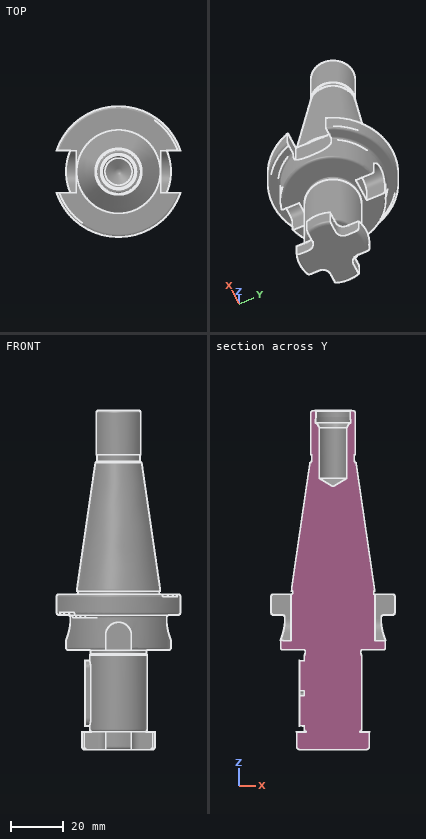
import cadquery as cq
import math


TOTAL_HEIGHT = 129.4
HEAD_TOP = 6.9
COLLAR_BOTTOM = 38.0
FLANGE_BOTTOM = 51.4
FLANGE_TOP = 59.4
TAPER_BOTTOM = 61.2
TAPER_TOP = 109.3
SPIGOT_GROOVE_BOTTOM = 110.0
SPIGOT_GROOVE_TOP = 112.5

SHAFT_RADIUS = 11.0
SHAFT_RELIEF_RADIUS = 10.7
COLLAR_RADIUS = 20.0
FLANGE_RADIUS = 25.0
TAPER_LARGE_RADIUS = 15.9
TAPER_RATE = 7 / 24
TAPER_SMALL_RADIUS = TAPER_LARGE_RADIUS - TAPER_RATE / 2 * (TAPER_TOP - TAPER_BOTTOM)
SPIGOT_RADIUS = 8.5
SPIGOT_GROOVE_RADIUS = 8.3

SHAFT_RELIEF_HEIGHT = 1.3
SHAFT_RELIEF_RUNOUT = 0.6
NECK_RADIUS = 15.5
NECK_HEIGHT = 1.2
RELIEF_FILLET = 0.4
COLLAR_FILLET = 0.9
EDGE_ROUND = 1.0

HEAD_RADIUS = 14.0
HEAD_ROUND = 1.4
LOBE_HALF_WIDTH = 4.9
LOBE_ROOT_ROUND = 3.1

SLOT_WIDTH = 16.0
SLOT_BOTTOM = 41.8
SLOT_FLOOR_DISTANCE = 16.0
NOTCH_WIDTH = 9.8
NOTCH_TOP = 48.7
NOTCH_FLOOR_DISTANCE = 11.9

KEY_WIDTH = 6.1
KEY_LENGTH = 25.0
KEY_CENTER_HEIGHT = 21.6
KEY_OUTER_DISTANCE = 12.8
KEY_HOLE_DIAMETER = 1.7
KEY_HOLE_DEPTH = 2.0

BORE_RADIUS = 6.5
BORE_CHAMFER = 0.4
BORE_DEPTH = 2.6
RECESS_RADIUS = 6.7
RECESS_DEPTH = 4.8
SEAT_RADIUS = 6.2
THREAD_RADIUS = 5.2
SEAT_HALF_ANGLE = 30
THREAD_DEPTH = 25.9
DRILL_HALF_ANGLE = 59


def revolve_profile(points):
    """Revolve (radius, height) points about Z."""
    return cq.Workplane("XZ").polyline(points).close().revolve(360, (0, 0, 0), (0, 1, 0))


def cylinder(radius, bottom, top):
    return cq.Workplane("XY").workplane(offset=bottom).circle(radius).extrude(top - bottom)


def root_fillet(radius, face_height, size):
    """Concave ring between a cylinder and a flange face; a negative size points down."""
    width = abs(size)
    diagonal = 1 - math.sqrt(0.5)
    return (
        cq.Workplane("XZ")
        .moveTo(0, face_height)
        .lineTo(radius + width, face_height)
        .threePointArc(
            (radius + width * diagonal, face_height + size * diagonal),
            (radius, face_height + size),
        )
        .lineTo(0, face_height + size)
        .close()
        .revolve(360, (0, 0, 0), (0, 1, 0))
    )


def turned_body():
    relief_bottom = COLLAR_BOTTOM - SHAFT_RELIEF_HEIGHT
    shaft = cylinder(SHAFT_RADIUS, HEAD_TOP, relief_bottom - SHAFT_RELIEF_RUNOUT)
    shaft = shaft.faces("<Z").edges().fillet(EDGE_ROUND)
    relief = revolve_profile([
        (0, relief_bottom - SHAFT_RELIEF_RUNOUT),
        (SHAFT_RADIUS, relief_bottom - SHAFT_RELIEF_RUNOUT),
        (SHAFT_RELIEF_RADIUS, relief_bottom),
        (SHAFT_RELIEF_RADIUS, COLLAR_BOTTOM),
        (0, COLLAR_BOTTOM),
    ])
    collar = cylinder(COLLAR_RADIUS, COLLAR_BOTTOM, FLANGE_BOTTOM)
    collar = collar.faces("<Z").edges().fillet(EDGE_ROUND)
    flange = cylinder(FLANGE_RADIUS, FLANGE_BOTTOM, FLANGE_TOP).edges().fillet(EDGE_ROUND)
    taper = revolve_profile([
        (0, FLANGE_TOP),
        (NECK_RADIUS, FLANGE_TOP),
        (NECK_RADIUS, FLANGE_TOP + NECK_HEIGHT),
        (TAPER_LARGE_RADIUS, FLANGE_TOP + NECK_HEIGHT),
        (TAPER_LARGE_RADIUS, TAPER_BOTTOM),
        (TAPER_SMALL_RADIUS, TAPER_TOP),
        (SPIGOT_GROOVE_RADIUS, SPIGOT_GROOVE_BOTTOM),
        (SPIGOT_GROOVE_RADIUS, SPIGOT_GROOVE_TOP),
        (0, SPIGOT_GROOVE_TOP),
    ])
    spigot = cylinder(SPIGOT_RADIUS, SPIGOT_GROOVE_TOP, TOTAL_HEIGHT)
    spigot = spigot.faces(">Z").edges().fillet(EDGE_ROUND)
    relief_root = root_fillet(SHAFT_RELIEF_RADIUS, COLLAR_BOTTOM, -RELIEF_FILLET)
    collar_root = root_fillet(COLLAR_RADIUS, FLANGE_BOTTOM, -COLLAR_FILLET)
    neck_root = root_fillet(NECK_RADIUS, FLANGE_TOP, RELIEF_FILLET)
    body = shaft
    for section in (relief, relief_root, collar, collar_root, flange, neck_root, taper, spigot):
        body = body.union(section)
    return body


def screw_head():
    """Disc with four lobes left between rounded corner cut-outs."""
    head = cylinder(HEAD_RADIUS, 0, HEAD_TOP).faces("<Z").edges().fillet(HEAD_ROUND)
    cutout_size = HEAD_RADIUS
    cutout_center = LOBE_HALF_WIDTH + cutout_size / 2
    for x_side in (-1, 1):
        for y_side in (-1, 1):
            cutout = (
                cq.Workplane("XY")
                .center(x_side * cutout_center, y_side * cutout_center)
                .rect(cutout_size, cutout_size)
                .extrude(HEAD_TOP)
                .edges("|Z")
                .fillet(LOBE_ROOT_ROUND)
            )
            head = head.cut(cutout)
    return head


def feather_key():
    key = (
        cq.Workplane("YZ")
        .center(0, KEY_CENTER_HEIGHT)
        .slot2D(KEY_LENGTH, KEY_WIDTH, 90)
        .extrude(-KEY_OUTER_DISTANCE)
    )
    return key.faces("<X").workplane().hole(KEY_HOLE_DIAMETER, KEY_HOLE_DEPTH)


def rounded_slot(face, width, crown, open_end):
    """Slot outline on a vertical face: half-round at height crown, open at height open_end."""
    radius = width / 2
    arc_height = crown + math.copysign(radius, open_end - crown)
    return (
        face
        .moveTo(-radius, open_end)
        .lineTo(-radius, arc_height)
        .threePointArc((0, crown), (radius, arc_height))
        .lineTo(radius, open_end)
        .close()
    )


def flange_slot():
    """Round-bottomed cutter for the -X side, open through the flange top."""
    floor = cq.Workplane("YZ", origin=(-SLOT_FLOOR_DISTANCE, 0, 0))
    return rounded_slot(floor, SLOT_WIDTH, SLOT_BOTTOM, FLANGE_TOP).extrude(-FLANGE_RADIUS)


def collar_notch():
    """Round-topped cutter for the -Y side, open through the collar underside."""
    floor = cq.Workplane("XZ", origin=(0, -NOTCH_FLOOR_DISTANCE, 0))
    return rounded_slot(floor, NOTCH_WIDTH, NOTCH_TOP, COLLAR_BOTTOM).extrude(COLLAR_RADIUS)


def drawbar_bore():
    """Chamfered bore, flared recess, conical seat and drilled thread hole."""
    seat_length = (SEAT_RADIUS - THREAD_RADIUS) / math.tan(math.radians(SEAT_HALF_ANGLE))
    drill_tip_length = THREAD_RADIUS / math.tan(math.radians(DRILL_HALF_ANGLE))
    return revolve_profile([
        (0, TOTAL_HEIGHT),
        (BORE_RADIUS + BORE_CHAMFER, TOTAL_HEIGHT),
        (BORE_RADIUS, TOTAL_HEIGHT - BORE_CHAMFER),
        (BORE_RADIUS, TOTAL_HEIGHT - BORE_DEPTH),
        (RECESS_RADIUS, TOTAL_HEIGHT - RECESS_DEPTH),
        (SEAT_RADIUS, TOTAL_HEIGHT - RECESS_DEPTH),
        (THREAD_RADIUS, TOTAL_HEIGHT - RECESS_DEPTH - seat_length),
        (THREAD_RADIUS, TOTAL_HEIGHT - THREAD_DEPTH),
        (0, TOTAL_HEIGHT - THREAD_DEPTH - drill_tip_length),
    ])


result = turned_body().union(screw_head()).union(feather_key()).cut(drawbar_bore())
for half_turn in (0, 180):
    for cutter in (flange_slot(), collar_notch()):
        result = result.cut(cutter.rotate((0, 0, 0), (0, 0, 1), half_turn))